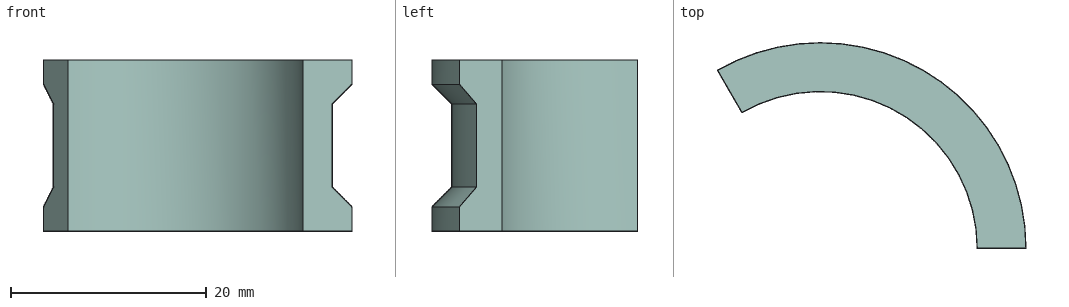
import cadquery as cq

outer_radius = 21.0
inner_radius = 16.0
height = 17.5
sweep_angle = 120.0
flange_height = 2.5
groove_depth = 2.0
taper_height = 2.0

groove_radius = outer_radius - groove_depth
lower_floor_edge = flange_height + taper_height
upper_floor_edge = height - lower_floor_edge
upper_rim_edge = height - flange_height


def ring_segment():
    """Revolve the grooved wall section about Z, starting from the +X axis."""
    section = (
        cq.Workplane("XZ")
        .moveTo(inner_radius, 0)
        .lineTo(outer_radius, 0)
        .lineTo(outer_radius, flange_height)
        .lineTo(groove_radius, lower_floor_edge)
        .lineTo(groove_radius, upper_floor_edge)
        .lineTo(outer_radius, upper_rim_edge)
        .lineTo(outer_radius, height)
        .lineTo(inner_radius, height)
        .close()
    )
    axis_start = (0, 0, 0)
    axis_end = (0, 1, 0)
    return section.revolve(sweep_angle, axis_start, axis_end)


result = ring_segment()